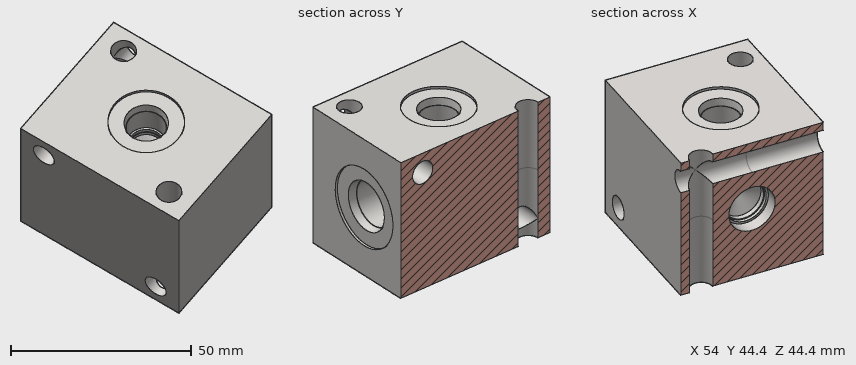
import cadquery as cq
import math

length = 54.0
side = 44.4

bolt_diameter = 7.1
bolt_edge_x = 7.95
bolt_edge_side = 6.35

spotface_depth = 0.8
drill_point_angle = 118.0
seat_half_angle = 12.0


def cone_length(start_diameter, end_diameter, half_angle):
    """Axial length of a cone between two diameters."""
    return (start_diameter - end_diameter) / 2 / math.tan(math.radians(half_angle))


def port_cutter(spotface, mouth, seat_end, thread, thread_depth, minor, minor_depth, drill, drill_depth):
    """Stepped port opening at the origin and running down -Z, named by its diameters and depths."""
    seat_depth = spotface_depth + cone_length(mouth, seat_end, seat_half_angle)
    tip_depth = drill_depth + cone_length(drill, 0, drill_point_angle / 2)
    profile = [
        (0, 0),
        (spotface / 2, 0),
        (spotface / 2, -spotface_depth),
        (mouth / 2, -spotface_depth),
        (seat_end / 2, -seat_depth),
        (thread / 2, -seat_depth),
        (thread / 2, -thread_depth),
        (minor / 2, -thread_depth),
        (minor / 2, -minor_depth),
        (drill / 2, -minor_depth),
        (drill / 2, -drill_depth),
        (0, -tip_depth),
    ]
    return cq.Workplane("XZ").polyline(profile).close().revolve(360, (0, 0, 0), (0, 1, 0))


def bolt_holes(plane):
    """Pair of cylinders through the whole block, normal to the given plane."""
    x = length / 2 - bolt_edge_x
    across = side / 2 - bolt_edge_side
    centers = [(-x, across), (x, -across)]
    return cq.Workplane(plane).pushPoints(centers).circle(bolt_diameter / 2).extrude(side, both=True)


top_port = port_cutter(
    spotface=21.25,
    mouth=12.3,
    seat_end=11.35,
    thread=11.1,
    thread_depth=10.8,
    minor=9.9,
    minor_depth=11.9,
    drill=9.5,
    drill_depth=12.95,
).translate((0, 0, side / 2))

end_port = port_cutter(
    spotface=25.0,
    mouth=15.6,
    seat_end=14.5,
    thread=14.25,
    thread_depth=11.9,
    minor=12.9,
    minor_depth=12.95,
    drill=12.3,
    drill_depth=14.6,
).rotate((0, 0, 0), (0, 1, 0), -90).translate((-length / 2, 0, 0))

result = cq.Workplane("XY").box(length, side, side)
result = result.cut(bolt_holes("XY")).cut(bolt_holes("XZ"))
result = result.cut(top_port).cut(end_port)